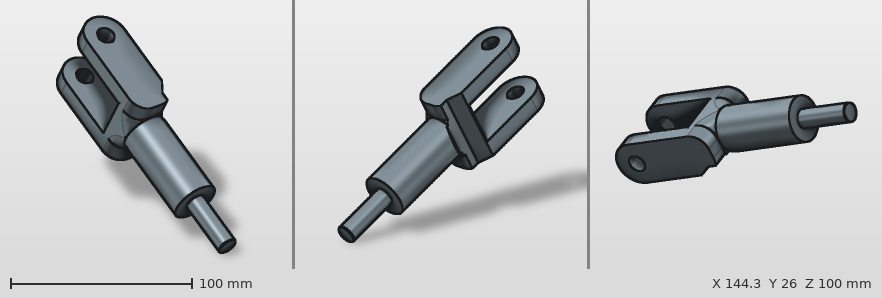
import cadquery as cq
import math

tilt_angle = 30.0

width = 26.0
half_width = width / 2
arm_thickness = 10.0
gap = 27.0
fork_height = gap + 2 * arm_thickness
half_height = fork_height / 2
slot_depth = 50.3
fork_length = 65.3
rear_corner_radius = 10.0
pin_hole_diameter = 10.0

shank_radius = half_width
shank_end = 117.0
tail_radius = 5.5
tail_end = 150.0
tail_chamfer_length = 0.5
tail_chamfer_depth = 0.18

wedge_first_angle = 2.0
wedge_steps = 8
cut_margin = 1.0

notch_floor = 8.2
notch_start = 51.2
notch_floor_start = 58.9
notch_floor_end = 66.5
notch_end = 70.2


def fork_slab(bottom, top, corner_radius=0):
    """Plate with a round nose at X = 0 and, if asked for, rounded rear corners."""
    slab = (
        cq.Workplane("XY", origin=(0, 0, bottom))
        .moveTo(half_width, -half_width)
        .lineTo(fork_length, -half_width)
        .lineTo(fork_length, half_width)
        .lineTo(half_width, half_width)
        .threePointArc((0, 0), (half_width, -half_width))
        .close()
        .extrude(top - bottom)
    )
    if corner_radius:
        slab = slab.edges("|Z and >X").fillet(corner_radius)
    return slab


def wedge_section(angle):
    """Closed wire of the shoulder wedge where the shank circle has turned by this angle from -Y."""
    height = shank_radius * math.sin(angle)
    depth = shank_radius * (1 - math.cos(angle))
    length = rear_corner_radius * (1 - (1 - height / shank_radius) ** 2)
    wedge_start = fork_length - length
    shank_y = depth - half_width
    outer_x = fork_length + cut_margin
    outer_y = -half_width - cut_margin
    return (
        cq.Workplane("XY", origin=(0, 0, height))
        .moveTo(fork_length, shank_y)
        .lineTo(outer_x, shank_y)
        .lineTo(outer_x, outer_y)
        .lineTo(wedge_start, outer_y)
        .lineTo(wedge_start, -half_width)
        .bezier(
            [(wedge_start, -half_width), (fork_length, -half_width), (fork_length, shank_y)]
        )
        .close()
        .val()
    )


def shoulder_wedge():
    """Curved wedge cut off the square shoulder in the -Y, +Z quarter."""
    first_angle = math.radians(wedge_first_angle)
    angle_step = (math.pi / 2 - first_angle) / wedge_steps
    sections = [wedge_section(first_angle + i * angle_step) for i in range(wedge_steps + 1)]
    return cq.Workplane(cq.Solid.makeLoft(sections))


def make_fork():
    fork = fork_slab(-shank_radius, shank_radius)
    upper_wedge = shoulder_wedge()
    for wedge in (upper_wedge, upper_wedge.mirror("XY")):
        fork = fork.cut(wedge).cut(wedge.mirror("XZ"))
    fork = fork.union(fork_slab(shank_radius, half_height, rear_corner_radius))
    fork = fork.union(fork_slab(-half_height, -shank_radius, rear_corner_radius))
    slot = cq.Workplane("XY").box(slot_depth, width, gap, centered=(False, True, True))
    hole = (
        cq.Workplane("XY", origin=(half_width, 0, -half_height))
        .circle(pin_hole_diameter / 2)
        .extrude(fork_height)
    )
    return fork.cut(slot).cut(hole)


def make_rod():
    shank = (
        cq.Workplane("YZ", origin=(fork_length, 0, 0))
        .circle(shank_radius)
        .extrude(shank_end - fork_length)
    )
    tail = (
        cq.Workplane("YZ", origin=(shank_end, 0, 0))
        .circle(tail_radius)
        .extrude(tail_end - shank_end)
        .faces(">X")
        .chamfer(tail_chamfer_length, tail_chamfer_depth)
    )
    return shank.union(tail)


def relief_notch():
    return (
        cq.Workplane("XY", origin=(0, 0, -half_height))
        .polyline([
            (notch_start, half_width),
            (notch_floor_start, notch_floor),
            (notch_floor_end, notch_floor),
            (notch_end, half_width),
        ])
        .close()
        .extrude(fork_height)
    )


body = make_fork().union(make_rod()).cut(relief_notch())
result = body.rotate((0, 0, 0), (0, 1, 0), tilt_angle)